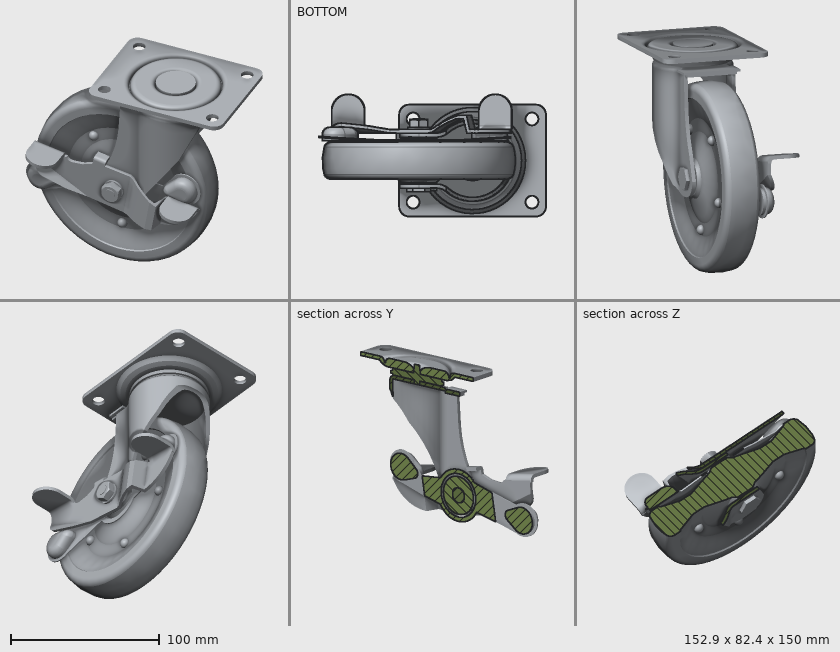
import cadquery as cq
import math


wheel_radius = 65.0
wheel_width = 25.0
overall_height = 150.0
axle_x = -36.2
axle_z = wheel_radius - overall_height
axle_radius = 5.0

plate_length = 99.0
plate_width = 75.5
plate_thickness = 3.0
plate_corner_radius = 7.0
hole_pitch_x = 80.0
hole_pitch_y = 56.0
hole_diameter = 8.5
dish_depth = 6.6
dish_rim_depth = 5.5
dish_top_radius = 35.7
dish_rim_radius = 33.0
dish_bottom_radius = 29.4
groove_outer_radius = 35.0
groove_outer_round = 3.5
groove_inner_round = 4.0
groove_inner_radius = 27.0
pin_hole_round = 4.0

pin_radius = 13.5
neck_radius = 25.5
ring_radius = 27.0
ring_top_z = -8.0
ring_bottom_z = -10.5

fork_top_z = -11.5
fork_radius = 27.5
fork_rim_radius = 3.5
sheet = 2.7
leg_outer_y = 18.5
flare_start_x = -24.2
leg_end_radius = 12.7
lip_end_x = -37.6
lip_top_z = -12.4
lip_thickness = 1.6
lip_width = 40.6
lip_lower_width = 35.4

tread_half_width = 9.2
tread_edge_radius = 63.8
shoulder_half_width = 11.6
shoulder_radius = 62.0
tyre_side_radius = 59.2
rim_radius = 54.0
rim_lip = 1.0
web_half_width = 7.0
web_outer_radius = 40.0
web_inner_radius = 31.0
hub_radius = 12.0
hub_shoulder_radius = 14.0
hub_half_width = 14.8
rivet_count = 5
rivet_circle_radius = 36.0
rivet_radius = 3.5
first_rivet_angle = -90.0

head_height = 2.6
head_across_corners = 16.2
washer_radius = 7.3
washer_height = 1.5
nut_across_corners = 14.3
nut_face_radius = 6.0
nut_height = 5.2
nut_chamfer_slope = 0.6
bolt_tip_radius = 3.8
bolt_tip_height = 0.5

brake_angle = -9.5
lever_back_y = -leg_outer_y
lever_sheet = 2.5
lever_front_y = lever_back_y - lever_sheet
bridge_front_y = -30.6
pedal_u = 50.2
pedal_width = 22.4
pedal_top_v = 13.7
pedal_tip_y = -44.66
pedal_bend_radius = 5.0
tab_u = -13.9
tab_width = 8.8
tab_top_v = 19.3
tab_bottom_v = 14.0
tab_end_y = -13.8
flap_slope = 0.62

leaf_sheet = 0.9
leaf_back_y = -13.2
leaf_tip_y = -15.6
leaf_flat_u = 30.0
leaf_tip_u = 66.0
leaf_ring_radius = 18.4
leaf_hole_radius = 15.0
pad_radius = 11.6
left_pad = (-53.6, -16.5)
right_pad = (47.7, 19.0)
dome_radius = 9.4
dome_point = 19.0
dome_point_round = 4.0
dome_front_y = -22.5
dome_top_round = 5.0


def along_y(y_from, y_to, outline):
    """Solid from an (x, z) outline, drawn by `outline` on a workplane, between two Y positions."""
    plane = cq.Workplane("XZ", origin=(0, y_from, 0))
    return outline(plane).extrude(y_from - y_to)


def at_axle(body, angle=0.0):
    """Turn a body about the Y axis and move it from the origin to the axle."""
    return body.rotate((0, 0, 0), (0, -1, 0), angle).translate((axle_x, 0, axle_z))


def make_plate():
    slab = cq.Workplane("XY").box(plate_length, plate_width, plate_thickness, centered=(True, True, False))
    slab = slab.translate((0, 0, -plate_thickness)).edges("|Z").fillet(plate_corner_radius)
    holes = cq.Workplane("XY").rarray(hole_pitch_x, hole_pitch_y, 2, 2).circle(hole_diameter / 2)
    slab = slab.cut(holes.extrude(-plate_thickness))
    dish = (
        cq.Workplane("XZ")
        .moveTo(0, -plate_thickness)
        .lineTo(dish_top_radius, -plate_thickness)
        .lineTo(dish_rim_radius, -dish_rim_depth)
        .lineTo(dish_bottom_radius, -dish_depth)
        .lineTo(0, -dish_depth)
        .close()
        .revolve()
    )
    groove_floor_radius = groove_outer_radius - groove_outer_round
    groove = (
        cq.Workplane("XZ")
        .moveTo(groove_outer_radius, 0)
        .radiusArc((groove_floor_radius, -groove_outer_round), -groove_outer_round)
        .lineTo(groove_floor_radius, -groove_inner_round)
        .lineTo(groove_inner_radius + groove_inner_round, -groove_inner_round)
        .radiusArc((groove_inner_radius, 0), -groove_inner_round)
        .close()
        .revolve(360, (0, 0), (0, 1))
    )
    pin_hole = (
        cq.Workplane("XZ")
        .lineTo(pin_radius + pin_hole_round, 0)
        .radiusArc((pin_radius, -pin_hole_round), -pin_hole_round)
        .lineTo(pin_radius, -dish_depth)
        .lineTo(0, -dish_depth)
        .close()
        .revolve()
    )
    return slab.union(dish).cut(groove).cut(pin_hole)


def make_swivel_pin():
    return (
        cq.Workplane("XZ")
        .lineTo(pin_radius, 0)
        .lineTo(pin_radius, -dish_depth)
        .lineTo(neck_radius, -dish_depth)
        .lineTo(neck_radius, ring_top_z)
        .lineTo(ring_radius, ring_top_z)
        .lineTo(ring_radius, ring_bottom_z)
        .lineTo(neck_radius, ring_bottom_z)
        .lineTo(neck_radius, fork_top_z)
        .lineTo(pin_radius, fork_top_z)
        .lineTo(pin_radius, fork_top_z - sheet)
        .lineTo(0, fork_top_z - sheet)
        .close()
        .revolve()
    )


def fork_plan(inset, top_z, bottom_z):
    """Keyhole-shaped column: round around the swivel axis, flaring into flat legs toward -X."""
    radius = fork_radius - inset
    leg_y = leg_outer_y - inset
    flare = (flare_start_x**2 + leg_y**2 - radius**2) / (2 * (radius - leg_y))
    turn = math.atan2(leg_y + flare, flare_start_x)
    tangent = (radius * math.cos(turn), radius * math.sin(turn))
    flare_centre = (flare_start_x, leg_y + flare)
    toward_tangent = turn - math.pi
    middle = (toward_tangent - math.pi / 2) / 2
    flare_middle = (
        flare_centre[0] + flare * math.cos(middle),
        flare_centre[1] + flare * math.sin(middle),
    )
    open_x = axle_x - 2 * leg_end_radius
    return (
        cq.Workplane("XY", origin=(0, 0, top_z))
        .moveTo(open_x, leg_y)
        .lineTo(flare_start_x, leg_y)
        .threePointArc(flare_middle, tangent)
        .threePointArc((radius, 0), (tangent[0], -tangent[1]))
        .threePointArc((flare_middle[0], -flare_middle[1]), (flare_start_x, -leg_y))
        .lineTo(open_x, -leg_y)
        .close()
        .extrude(bottom_z - top_z)
    )


def fork_side(plane):
    leg_bottom_z = axle_z - leg_end_radius
    diagonal = leg_end_radius * math.sqrt(0.5)
    return (
        plane.moveTo(-32.3, fork_top_z)
        .lineTo(-34.0, -37.0)
        .threePointArc((-36.7, -52.3), (-42.7, -67.7))
        .lineTo(axle_x - leg_end_radius, axle_z)
        .threePointArc((axle_x - diagonal, axle_z - diagonal), (axle_x, leg_bottom_z))
        .threePointArc((-25.8, -97.0), (-17.6, -92.2))
        .threePointArc((-14.3, -85.5), (-10.3, -78.1))
        .lineTo(13.3, -45.1)
        .lineTo(22.7, -24.2)
        .threePointArc((24.3, -21.5), (fork_radius, -20.4))
        .lineTo(fork_radius, fork_top_z)
        .close()
    )


def make_fork():
    bottom_z = axle_z - 2 * leg_end_radius
    column = fork_plan(0, fork_top_z, bottom_z)
    column = column.faces(">Z").edges("not <X").fillet(fork_rim_radius)
    column = column.cut(fork_plan(sheet, fork_top_z - sheet, bottom_z))
    column = column.intersect(along_y(2 * fork_radius, -2 * fork_radius, fork_side))
    step_size = 2 * fork_radius
    step = cq.Workplane("XY").box(step_size, step_size, fork_top_z - lip_top_z, centered=(True, True, False))
    column = column.cut(step.translate((flare_start_x - fork_radius, 0, lip_top_z)))
    lip = cq.Workplane("XY")
    for width, depth in ((lip_width, lip_thickness), (lip_lower_width, 2 * lip_thickness)):
        layer = cq.Workplane("XY").box(flare_start_x - lip_end_x, width, depth, centered=(False, True, False))
        lip = lip.union(layer.translate((lip_end_x, 0, lip_top_z - depth)))
    fork = column.union(lip)
    pin_hole = cq.Workplane("XY").circle(pin_radius).extrude(fork_top_z - sheet)
    axle_hole = at_axle(cq.Workplane("XZ").circle(axle_radius).extrude(leg_outer_y, both=True))
    return fork.cut(pin_hole).cut(axle_hole)


def make_wheel():
    half = wheel_width / 2
    side = [
        (tyre_side_radius, half),
        (rim_radius, half),
        (rim_radius - rim_lip / 2, half - rim_lip),
        (web_outer_radius, web_half_width),
        (web_inner_radius, web_half_width),
        (hub_shoulder_radius, half),
        (hub_radius, hub_half_width),
        (axle_radius, hub_half_width),
    ]
    mirrored_side = [(radius, -y) for radius, y in reversed(side)]
    wheel = (
        cq.Workplane("XY")
        .polyline(side + mirrored_side)
        .threePointArc((shoulder_radius, -shoulder_half_width), (tread_edge_radius, -tread_half_width))
        .threePointArc((wheel_radius, 0), (tread_edge_radius, tread_half_width))
        .threePointArc((shoulder_radius, shoulder_half_width), side[0])
        .close()
        .revolve(360, (0, 0), (0, 1))
    )
    for index in range(rivet_count):
        angle = math.radians(first_rivet_angle + index * 360 / rivet_count)
        x = rivet_circle_radius * math.cos(angle)
        z = rivet_circle_radius * math.sin(angle)
        for y in (-web_half_width, web_half_width):
            wheel = wheel.union(cq.Workplane("XY").sphere(rivet_radius).translate((x, y, z)))
    return at_axle(wheel)


def make_axle():
    nut_y = lever_front_y - washer_height
    tip_y = nut_y - nut_height
    head_y = leg_outer_y + head_height

    def cylinder(radius, y_from, y_to):
        return along_y(y_from, y_to, lambda plane: plane.circle(radius))

    def hexagon(diameter, y_from, y_to):
        return along_y(y_from, y_to, lambda plane: plane.polygon(6, diameter))

    axle = cylinder(axle_radius, leg_outer_y, lever_front_y)
    axle = axle.union(hexagon(head_across_corners, head_y, leg_outer_y))
    axle = axle.union(cylinder(washer_radius, lever_front_y, nut_y))
    corner_radius = nut_across_corners / 2
    blank = (
        cq.Workplane("XY")
        .polyline(
            [
                (0, nut_y),
                (corner_radius, nut_y),
                (corner_radius, tip_y + nut_chamfer_slope * (corner_radius - nut_face_radius)),
                (nut_face_radius, tip_y),
                (0, tip_y),
            ]
        )
        .close()
        .revolve(360, (0, 0), (0, 1))
    )
    nut = hexagon(nut_across_corners, nut_y, tip_y).rotate((0, 0, 0), (0, 1, 0), 90)
    axle = axle.union(nut.intersect(blank))
    axle = axle.union(cylinder(bolt_tip_radius, tip_y, tip_y - bolt_tip_height))
    return at_axle(axle)


flap_start = (-59.7, 0.9)
flap_end = (-17.2, -14.6)


def lever_outline(plane):
    return (
        plane.moveTo(-60.8, 10.0)
        .lineTo(-37.4, 10.0)
        .threePointArc((-36.0, 8.6), (-32.5, 8.0))
        .lineTo(-25.0, 9.8)
        .lineTo(-18.3, 13.5)
        .lineTo(-18.3, 15.1)
        .lineTo(9.8, 15.6)
        .lineTo(34.5, 7.5)
        .lineTo(36.5, 10.0)
        .lineTo(61.4, 10.0)
        .lineTo(60.2, 6.5)
        .threePointArc((53.4, -3.5), (37.0, -12.2))
        .lineTo(29.5, -13.9)
        .lineTo(10.2, -15.3)
        .lineTo(*flap_end)
        .lineTo(*flap_start)
        .close()
    )


def lever_plan():
    """Flat strip with a raised bridge that clears the round side of the fork."""
    end_u = 70.0
    height = 60.0
    bridge_back_y = bridge_front_y + lever_sheet
    return (
        cq.Workplane("XY")
        .moveTo(-end_u, lever_back_y)
        .lineTo(9.0, lever_back_y)
        .lineTo(11.6, lever_back_y - 0.5)
        .threePointArc((19.5, -24.3), (28.0, bridge_back_y))
        .lineTo(32.5, bridge_back_y)
        .lineTo(35.0, lever_back_y)
        .lineTo(end_u, lever_back_y)
        .lineTo(end_u, lever_front_y)
        .lineTo(36.8, lever_front_y)
        .lineTo(34.7, bridge_front_y)
        .lineTo(29.7, bridge_front_y)
        .threePointArc((21.0, -27.2), (12.6, -22.0))
        .lineTo(9.8, lever_front_y)
        .lineTo(-end_u, lever_front_y)
        .close()
        .extrude(height / 2, both=True)
    )


def make_pedal(centre_u):
    """Tongue folded forward from the top edge of the lever, with a half-round tip."""
    radius = pedal_width / 2
    inner = pedal_bend_radius - lever_sheet
    bend_y = lever_back_y - pedal_bend_radius
    bend_v = pedal_top_v - pedal_bend_radius
    diagonal = math.sqrt(0.5)
    strip = (
        cq.Workplane("YZ", origin=(centre_u - radius, 0, 0))
        .moveTo(pedal_tip_y, pedal_top_v)
        .lineTo(bend_y, pedal_top_v)
        .threePointArc(
            (bend_y + pedal_bend_radius * diagonal, bend_v + pedal_bend_radius * diagonal),
            (lever_back_y, bend_v),
        )
        .lineTo(lever_front_y, bend_v)
        .threePointArc(
            (bend_y + inner * diagonal, bend_v + inner * diagonal),
            (bend_y, pedal_top_v - lever_sheet),
        )
        .lineTo(pedal_tip_y, pedal_top_v - lever_sheet)
        .close()
        .extrude(pedal_width)
    )
    outline = (
        cq.Workplane("XY")
        .moveTo(centre_u - radius, 0)
        .lineTo(centre_u - radius, pedal_tip_y + radius)
        .threePointArc((centre_u, pedal_tip_y), (centre_u + radius, pedal_tip_y + radius))
        .lineTo(centre_u + radius, 0)
        .close()
        .extrude(2 * pedal_top_v)
    )
    return strip.intersect(outline)


def make_flap():
    """Lower left corner of the lever, bent forward along a slanted line."""
    depth = 10.0
    shift = flap_slope * depth
    run = flap_end[0] - flap_start[0]
    rise = flap_end[1] - flap_start[1]
    bent = (
        cq.Workplane("YZ")
        .polyline(
            [
                (lever_back_y, 0),
                (lever_front_y, 0),
                (lever_front_y - shift, -depth),
                (lever_back_y - shift, -depth),
            ]
        )
        .close()
        .extrude(math.hypot(run, rise))
        .rotate((0, 0, 0), (0, -1, 0), math.degrees(math.atan2(rise, run)))
        .translate((flap_start[0], 0, flap_start[1]))
    )
    triangle = along_y(
        0,
        2 * bridge_front_y,
        lambda plane: plane.moveTo(*flap_start)
        .threePointArc((-56.6, -5.4), (-51.4, -9.5))
        .lineTo(-33.0, -13.2)
        .lineTo(*flap_end)
        .close(),
    )
    return bent.intersect(triangle)


def make_tab():
    """Hook at the top edge of the lever, folded back toward the wheel."""
    depth = tab_end_y - lever_front_y
    height = tab_top_v - tab_bottom_v
    tab = cq.Workplane("XY").box(tab_width, depth, height, centered=(True, False, False))
    tab = tab.translate((tab_u, lever_front_y, tab_bottom_v))
    tab = tab.edges("|X and >Z and <Y").fillet(lever_sheet)
    room = cq.Workplane("XY").box(tab_width, leg_outer_y, tab_top_v - lever_sheet, centered=(True, False, False))
    return tab.cut(room.translate((tab_u, lever_back_y, 0)))


def make_lever():
    lever = lever_plan().intersect(along_y(0, 2 * bridge_front_y, lever_outline))
    for centre_u in (-pedal_u, pedal_u):
        lever = lever.union(make_pedal(centre_u))
    lever = lever.union(make_tab()).union(make_flap())
    hole = cq.Workplane("XZ").circle(axle_radius).extrude(-2 * bridge_front_y)
    return at_axle(lever.cut(hole), brake_angle)


def leaf_arm(points):
    return along_y(0, 2 * leaf_tip_y, lambda plane: plane.polyline(points).close())


def make_dome(centre):
    """Drop-shaped bulge pointing to the axle, with a rounded top."""
    reach = math.acos(dome_radius / dome_point)
    start = (dome_radius * math.cos(reach), dome_radius * math.sin(reach))
    dome = (
        cq.Workplane("XZ", origin=(0, leaf_back_y, 0))
        .moveTo(dome_point, 0)
        .lineTo(*start)
        .threePointArc((-dome_radius, 0), (start[0], -start[1]))
        .close()
        .extrude(leaf_back_y - dome_front_y)
    )
    dome = dome.edges("|Y and >X").fillet(dome_point_round).faces("<Y").edges().fillet(dome_top_round)
    inward = math.degrees(math.atan2(-centre[1], -centre[0]))
    return dome.rotate((0, 0, 0), (0, -1, 0), inward).translate((centre[0], 0, centre[1]))


def make_leaf():
    plan = [
        (-leaf_tip_u, leaf_tip_y),
        (-leaf_flat_u, leaf_back_y),
        (leaf_flat_u, leaf_back_y),
        (leaf_tip_u, leaf_tip_y),
    ]
    front = [(u, y - leaf_sheet) for u, y in reversed(plan)]
    strip = cq.Workplane("XY").polyline(plan + front).close().extrude(wheel_radius, both=True)
    outline = along_y(0, 2 * leaf_tip_y, lambda plane: plane.circle(leaf_ring_radius))
    for pad in (left_pad, right_pad):
        disc = along_y(0, 2 * leaf_tip_y, lambda plane, pad=pad: plane.center(*pad).circle(pad_radius))
        outline = outline.union(disc)
    left_arm = [(-49.0, -26.8), (-34.2, -19.6), (-14.0, -11.5), (-14.0, 10.0), (-49.0, -6.2)]
    right_arm = [(39.5, 27.2), (31.3, 13.2), (12.0, 12.0), (14.0, -8.0), (54.0, 9.3)]
    outline = outline.union(leaf_arm(left_arm)).union(leaf_arm(right_arm))
    leaf = strip.intersect(outline)
    for pad in (left_pad, right_pad):
        leaf = leaf.union(make_dome(pad))
    hole = cq.Workplane("XZ").circle(leaf_hole_radius).extrude(-2 * leaf_tip_y)
    return at_axle(leaf.cut(hole), brake_angle)


plate = make_plate()
swivel_pin = make_swivel_pin()
fork = make_fork()
wheel = make_wheel()
axle = make_axle()
lever = make_lever()
leaf = make_leaf().cut(lever)

result = cq.Compound.makeCompound(
    [
        plate.solids().val(),
        swivel_pin.solids().val(),
        fork.solids().val(),
        wheel.solids().val(),
        axle.solids().val(),
        lever.solids().val(),
        leaf.solids().val(),
    ]
)